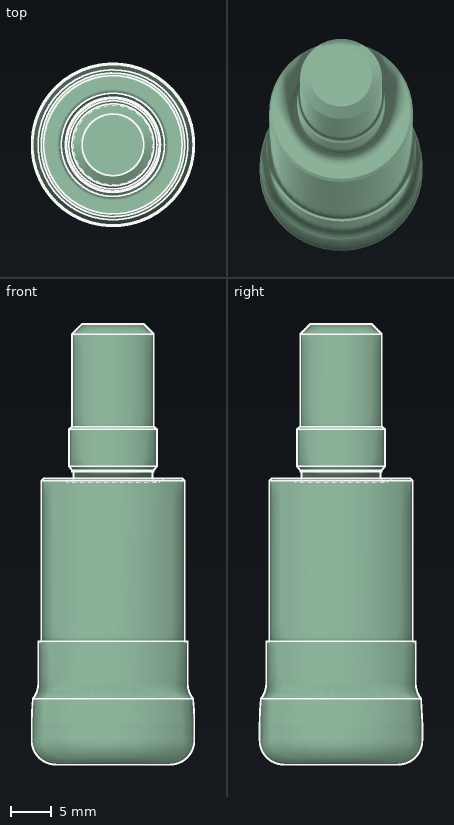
import cadquery as cq
import math

total_height = 54.0

cap_height = 15.1
cap_radius = 10.0
sleeve_radius = 9.2
foot_round = 3.0
bulge_start = 5.0
shoulder_bottom = 8.1
shoulder_top = 9.9
shoulder_radius = 9.85

barrel_radius = 8.8
barrel_top = 35.1
barrel_chamfer = 0.3
recess_radius = 6.3
ledge_radius = 5.85
ledge_depth = 0.3
recess_floor_radius = 5.65
recess_depth = 0.5
neck_radius = 4.85
neck_fillet = 0.55
neck_top = 35.9
pin_radius = 5.0
pin_chamfer = 1.25
collar_radius = 5.4
collar_foot = 36.05
collar_bottom = 36.55
collar_top = 41.1
collar_chamfer = 0.3


def tangent_arc_middle(tangent_point, end_point):
    """Midpoint of an arc from tangent_point, where it runs along Z, to end_point."""
    across = end_point[0] - tangent_point[0]
    along = end_point[1] - tangent_point[1]
    signed_radius = (across**2 + along**2) / (2 * across)
    half_angle = math.asin(along / signed_radius) / 2
    return (
        tangent_point[0] + signed_radius * (1 - math.cos(half_angle)),
        tangent_point[1] + signed_radius * math.sin(half_angle),
    )


def quarter_arc_middle(center, radius, side, rise):
    """Middle of a 45 degree quarter arc; side and rise are +1 or -1."""
    offset = radius * math.sqrt(0.5)
    return (center[0] + side * offset, center[1] + rise * offset)


def revolve_about_z(profile):
    return profile.close().revolve(360, (0, 0), (0, 1))


def make_cap():
    foot_center = (cap_radius - foot_round, foot_round)
    flank_top = (cap_radius, bulge_start)
    shoulder_start = (shoulder_radius, shoulder_bottom)
    shoulder_end = (sleeve_radius, shoulder_top)
    profile = (
        cq.Workplane("XZ")
        .lineTo(cap_radius - foot_round, 0)
        .threePointArc(quarter_arc_middle(foot_center, foot_round, 1, -1), (cap_radius, foot_round))
        .lineTo(*flank_top)
        .threePointArc(tangent_arc_middle(flank_top, shoulder_start), shoulder_start)
        .threePointArc(tangent_arc_middle(shoulder_end, shoulder_start), shoulder_end)
        .lineTo(sleeve_radius, cap_height)
        .lineTo(0, cap_height)
    )
    return revolve_about_z(profile)


def make_plunger():
    recess_floor = barrel_top - recess_depth
    fillet_center = (neck_radius + neck_fillet, recess_floor + neck_fillet)
    profile = (
        cq.Workplane("XZ")
        .moveTo(0, cap_height)
        .lineTo(barrel_radius, cap_height)
        .lineTo(barrel_radius, barrel_top - barrel_chamfer)
        .lineTo(barrel_radius - barrel_chamfer, barrel_top)
        .lineTo(recess_radius, barrel_top)
        .lineTo(ledge_radius, barrel_top - ledge_depth)
        .lineTo(recess_floor_radius, barrel_top - ledge_depth)
        .lineTo(recess_floor_radius, recess_floor)
        .lineTo(neck_radius + neck_fillet, recess_floor)
        .threePointArc(
            quarter_arc_middle(fillet_center, neck_fillet, -1, -1),
            (neck_radius, recess_floor + neck_fillet),
        )
        .lineTo(neck_radius, neck_top)
        .lineTo(pin_radius, neck_top)
        .lineTo(pin_radius, collar_foot)
        .lineTo(collar_radius, collar_bottom)
        .lineTo(collar_radius, collar_top)
        .lineTo(pin_radius, collar_top + collar_chamfer)
        .lineTo(pin_radius, total_height - pin_chamfer)
        .lineTo(pin_radius - pin_chamfer, total_height)
        .lineTo(0, total_height)
    )
    return revolve_about_z(profile)


cap = make_cap()
plunger = make_plunger()

result = cq.Compound.makeCompound([cap.val(), plunger.val()])